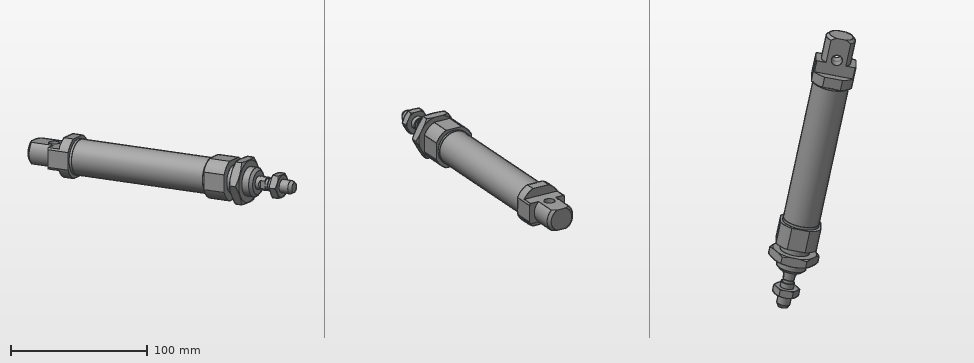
import cadquery as cq
import math


tang_end = 20.0
flange_end = 29.0
rear_cap_end = 37.0
front_cap_start = 150.6
front_cap_end = 167.6
mount_nut_start = 173.0
collar_end = 188.1
rod_flat_start = 191.0
neck_start = 195.8
neck_end = 198.4
rod_nut_start = 202.3
rod_end = 218.0

cap_width = 30.0
cap_corner_diameter = 33.0
band_diameter = 27.2
band_length = 2.0

thread_diameter = 22.0
thread_chamfer = 2.2

tang_thickness = 16.4
pivot_diameter = 8.0
pivot_x = 17.0

tube_diameter = 26.8

rod_diameter = 10.0
neck_diameter = 8.3
rod_flat_width = 8.0
rod_tip_length = 2.6
rod_tip_diameter = 7.2

mount_nut_width = 32.0
mount_nut_length = 7.2
mount_nut_rear_chamfer = (0.9, 32.7)
mount_nut_front_chamfer = (1.3, 31.5)
rod_nut_width = 17.0
rod_nut_length = 5.9
rod_nut_rear_chamfer = (0.5, 17.9)
rod_nut_front_chamfer = (0.9, 16.5)


def revolved(points):
    """Turn a closed (x, radius) profile about the X axis."""
    return cq.Workplane("XY").polyline(points).close().revolve(360, (0, 0, 0), (1, 0, 0))


def cylinder(start, end, diameter):
    """Round bar on the X axis between two stations."""
    return cq.Workplane("YZ", origin=(start, 0, 0)).circle(diameter / 2).extrude(end - start)


def cap_bar(start, end):
    """Square bar whose long edges are turned round about the X axis."""
    square = cq.Workplane("YZ", origin=(start, 0, 0)).rect(cap_width, cap_width).extrude(end - start)
    return square.intersect(cylinder(start, end, cap_corner_diameter))


def make_rear_cap():
    """Cap with a tang and flange flattened to one thickness, and a pivot hole through the tang."""
    tang = cylinder(0, tang_end, thread_diameter).faces("<X").chamfer(thread_chamfer)
    flange = cap_bar(tang_end, flange_end)
    slab = cq.Workplane("XY").box(flange_end, cap_width, tang_thickness, centered=(False, True, True))
    flattened = tang.union(flange).intersect(slab)
    shoulder = cap_bar(flange_end, rear_cap_end)
    band = cylinder(rear_cap_end, rear_cap_end + band_length, band_diameter)
    pivot_hole = (
        cq.Workplane("XY").center(pivot_x, 0).circle(pivot_diameter / 2).extrude(tang_thickness, both=True)
    )
    return flattened.union(shoulder).union(band).cut(pivot_hole)


def make_tube():
    """Plain barrel between the bands of the two caps."""
    return cylinder(rear_cap_end + band_length, front_cap_start - band_length, tube_diameter)


def make_front_cap():
    """Cap with a chamfered threaded collar for the mounting nut."""
    band = cylinder(front_cap_start - band_length, front_cap_start, band_diameter)
    block = cap_bar(front_cap_start, front_cap_end)
    collar = cylinder(front_cap_end, collar_end, thread_diameter).faces(">X").chamfer(thread_chamfer)
    return band.union(block).union(collar)


def make_nut(start, length, width, bore, rear_chamfer, front_chamfer):
    """Hexagon nut with two corners on the Y axis and a conical chamfer at each end."""
    corner_radius = width / 2 / math.cos(math.pi / 6)
    rear_length, rear_diameter = rear_chamfer
    front_length, front_diameter = front_chamfer
    end = start + length
    hexagon = cq.Workplane("YZ", origin=(start, 0, 0)).polygon(6, 2 * corner_radius).extrude(length)
    envelope = revolved([
        (start, 0),
        (start, rear_diameter / 2),
        (start + rear_length, corner_radius),
        (end - front_length, corner_radius),
        (end, front_diameter / 2),
        (end, 0),
    ])
    return hexagon.intersect(envelope).cut(cylinder(start, end, bore))


def wrench_flat_cutter(side):
    """Material removed for the wrench flat on the +Y (side = 1) or -Y (side = -1) face of the rod."""
    outer = side * rod_diameter / 2
    inner = side * rod_flat_width / 2
    runout = abs(outer - inner)
    outline = [
        (rod_flat_start, outer),
        (rod_flat_start + runout, inner),
        (neck_end, inner),
        (neck_end, outer),
    ]
    return cq.Workplane("XY").polyline(outline).close().extrude(rod_diameter, both=True)


def make_rod():
    """Rod with two wrench flats, a thread undercut and a tapered tip."""
    rod_body = revolved([
        (collar_end, 0),
        (collar_end, rod_diameter / 2),
        (neck_start, rod_diameter / 2),
        (neck_start, neck_diameter / 2),
        (neck_end, neck_diameter / 2),
        (neck_end, rod_diameter / 2),
        (rod_end - rod_tip_length, rod_diameter / 2),
        (rod_end, rod_tip_diameter / 2),
        (rod_end, 0),
    ])
    for side in (1, -1):
        rod_body = rod_body.cut(wrench_flat_cutter(side))
    return rod_body


rear_cap = make_rear_cap()
tube = make_tube()
front_cap = make_front_cap()
rod = make_rod()
mount_nut = make_nut(
    mount_nut_start, mount_nut_length, mount_nut_width,
    thread_diameter, mount_nut_rear_chamfer, mount_nut_front_chamfer,
)
rod_nut = make_nut(
    rod_nut_start, rod_nut_length, rod_nut_width,
    rod_diameter, rod_nut_rear_chamfer, rod_nut_front_chamfer,
)

result = cq.Compound.makeCompound([
    rear_cap.val(),
    tube.val(),
    front_cap.val(),
    rod.val(),
    mount_nut.val(),
    rod_nut.val(),
])